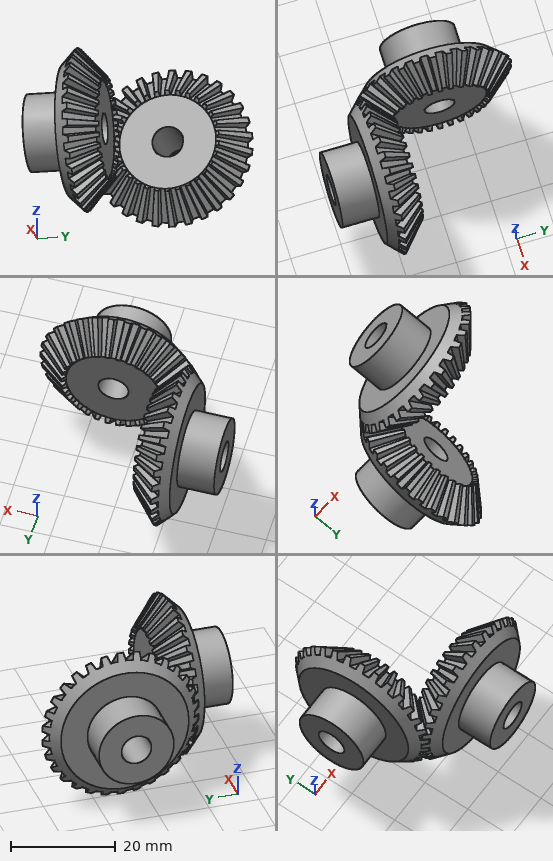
import math

import cadquery as cq

OVERALL_LENGTH = 40.5
TOOTH_COUNT = 30
PITCH_RADIUS = 15.0
ADDENDUM = 1.0
TOOTH_HEIGHT = 1.6
FACE_WIDTH = 7.55
RIM_RADIUS = 12.8
HUB_RADIUS = 7.5
HUB_LENGTH = 7.35
BORE_RADIUS = 3.0

GAP_ROOT_HALF_WIDTH = 0.7
GAP_MIDDLE_HALF_WIDTH = 0.85
GAP_TIP_HALF_WIDTH = 1.05

TIP_OVERRUN = 0.25
OUTER_OVERRUN_SCALE = 1.1
INNER_OVERRUN_SCALE = 0.9

SLANT = math.sqrt(0.5)
CONE_LENGTH = PITCH_RADIUS / SLANT
INNER_SCALE = 1 - FACE_WIDTH / CONE_LENGTH
TIP_RADIUS = PITCH_RADIUS + ADDENDUM * SLANT
TIP_DEPTH = PITCH_RADIUS - ADDENDUM * SLANT
ROOT_HEIGHT = ADDENDUM - TOOTH_HEIGHT
ROOT_RADIUS = PITCH_RADIUS + ROOT_HEIGHT * SLANT
ROOT_DEPTH = PITCH_RADIUS - ROOT_HEIGHT * SLANT
RIM_DEPTH = TIP_DEPTH + TIP_RADIUS - RIM_RADIUS
HUB_END_DEPTH = RIM_DEPTH + HUB_LENGTH

MOUNTING_DISTANCE = OVERALL_LENGTH - TIP_RADIUS


def gear_blank():
    """Untoothed gear about Z, with the cone apex at the origin and the hub toward -Z."""
    return (
        cq.Workplane("XZ")
        .moveTo(BORE_RADIUS, -HUB_END_DEPTH)
        .lineTo(HUB_RADIUS, -HUB_END_DEPTH)
        .lineTo(HUB_RADIUS, -RIM_DEPTH)
        .lineTo(RIM_RADIUS, -RIM_DEPTH)
        .lineTo(TIP_RADIUS, -TIP_DEPTH)
        .lineTo(INNER_SCALE * TIP_RADIUS, -INNER_SCALE * TIP_DEPTH)
        .lineTo(INNER_SCALE * ROOT_RADIUS, -INNER_SCALE * ROOT_DEPTH)
        .lineTo(BORE_RADIUS, -INNER_SCALE * ROOT_DEPTH)
        .close()
        .revolve(360, (0, 0, 0), (0, 1, 0))
    )


def gap_outline(scale):
    """Tooth gap section, square to the pitch cone and shrunk toward the apex by scale."""
    reach = scale * PITCH_RADIUS
    plane = cq.Plane(origin=(reach, 0, -reach), xDir=(0, 1, 0), normal=(1, 0, -1))
    root = ROOT_HEIGHT * scale
    middle = (ADDENDUM + ROOT_HEIGHT) / 2 * scale
    tip = ADDENDUM * scale
    top = (ADDENDUM + TIP_OVERRUN) * scale
    root_half = scale * GAP_ROOT_HALF_WIDTH
    middle_half = scale * GAP_MIDDLE_HALF_WIDTH
    tip_half = scale * GAP_TIP_HALF_WIDTH
    return (
        cq.Workplane(plane)
        .moveTo(-root_half, root)
        .lineTo(root_half, root)
        .threePointArc((middle_half, middle), (tip_half, tip))
        .lineTo(tip_half, top)
        .lineTo(-tip_half, top)
        .lineTo(-tip_half, tip)
        .threePointArc((-middle_half, middle), (-root_half, root))
        .close()
        .val()
    )


def miter_gear():
    """Toothed gear with its hub toward -Z, moved so that the gear axes cross at the origin."""
    outer = gap_outline(OUTER_OVERRUN_SCALE)
    inner = gap_outline(INNER_SCALE * INNER_OVERRUN_SCALE)
    gap = cq.Solid.makeLoft([outer, inner], True)
    pitch_angle = 360 / TOOTH_COUNT
    gaps = [
        gap.rotate(cq.Vector(0, 0, 0), cq.Vector(0, 0, 1), (i + 0.5) * pitch_angle)
        for i in range(TOOTH_COUNT)
    ]
    toothed = gear_blank().val().cut(*gaps).Solids()[0]
    return cq.Workplane(toothed).translate((0, 0, HUB_END_DEPTH - MOUNTING_DISTANCE))


MOUNTING_TURNS = [((1, 0, 0), -90), ((0, 1, 0), 90)]

gear = miter_gear()
mounted_gears = [gear.rotate((0, 0, 0), axis, angle) for axis, angle in MOUNTING_TURNS]
result = cq.Compound.makeCompound([mounted.val() for mounted in mounted_gears])